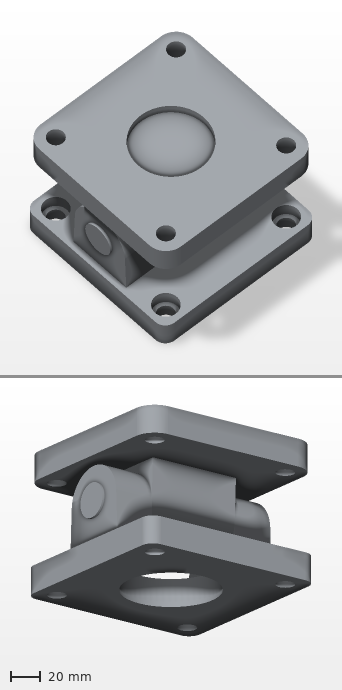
import cadquery as cq
import math

plate_side = 140.0
plate_thickness = 20.0
overall_height = 100.0
upper_corner_radius = 15.0
lower_corner_radius = 9.0
bolt_spacing = 110.0
bolt_hole_diameter = 13.5

counterbore_diameter = 20.0
counterbore_depth = 10.0
bore_diameter = 70

recess_diameter = 60.0
recess_depth = 7.0

hinge_radius = 25.0
flank_taper = math.radians(2.5)
eye_width = 70.0
fork_width = 130.0
pin_diameter = 25.0
pin_length = 134.0

pivot_height = overall_height / 2
base_drop = pivot_height - plate_thickness
lug_thickness = (fork_width - eye_width) / 2


def flange_plate(bottom_z, corner_radius):
    """Square plate with rounded vertical corners and four bolt holes."""
    return (
        cq.Workplane("XY", origin=(0, 0, bottom_z))
        .rect(plate_side, plate_side)
        .extrude(plate_thickness)
        .edges("|Z")
        .fillet(corner_radius)
        .faces(">Z")
        .workplane()
        .rect(bolt_spacing, bolt_spacing, forConstruction=True)
        .vertices()
        .hole(bolt_hole_diameter)
    )


def vertical_cylinder(diameter, depth, top_z):
    """Cylinder on the Z axis reaching down from top_z."""
    return cq.Workplane("XY", origin=(0, 0, top_z)).circle(diameter / 2).extrude(-depth)


def pivot_cylinder(diameter, length):
    """Cylinder along Y, centred on the pivot axis."""
    return (
        cq.Workplane("XZ", origin=(0, 0, pivot_height))
        .circle(diameter / 2)
        .extrude(length / 2, both=True)
    )


def hinge_lug(center_y, width, base_side):
    """Tapered lug with a round end; base_side is -1 for a base below the pivot, +1 above.

    The flanks leave the round end tangentially and spread towards the base by the taper angle.
    """
    tangent_x = hinge_radius * math.cos(flank_taper)
    tangent_z = -base_side * hinge_radius * math.sin(flank_taper)
    half_base = hinge_radius / math.cos(flank_taper) + base_drop * math.tan(flank_taper)
    base_z = base_side * base_drop
    end_z = -base_side * hinge_radius
    return (
        cq.Workplane("XZ", origin=(0, center_y + width / 2, pivot_height))
        .moveTo(-half_base, base_z)
        .lineTo(half_base, base_z)
        .lineTo(tangent_x, tangent_z)
        .threePointArc((0, end_z), (-tangent_x, tangent_z))
        .close()
        .extrude(width)
    )


def make_fork():
    """Lower plate with a central bore, counterbored bolt holes, two lugs and the fixed pin."""
    fork = flange_plate(0, lower_corner_radius)
    fork = fork.cut(vertical_cylinder(bore_diameter, plate_thickness, plate_thickness))
    counterbores = (
        cq.Workplane("XY", origin=(0, 0, plate_thickness))
        .rect(bolt_spacing, bolt_spacing, forConstruction=True)
        .vertices()
        .circle(counterbore_diameter / 2)
        .extrude(-counterbore_depth)
    )
    fork = fork.cut(counterbores)
    lug_offset = (eye_width + lug_thickness) / 2
    for side in (-1, 1):
        fork = fork.union(hinge_lug(side * lug_offset, lug_thickness, -1))
    return fork.union(pivot_cylinder(pin_diameter, pin_length))


def make_eye():
    """Upper plate with a round recess on top and a hanging lug bored for the pin."""
    eye = flange_plate(overall_height - plate_thickness, upper_corner_radius)
    eye = eye.cut(vertical_cylinder(recess_diameter, recess_depth, overall_height))
    eye = eye.union(hinge_lug(0, eye_width, 1))
    return eye.cut(pivot_cylinder(pin_diameter, eye_width))


fork = make_fork()
eye = make_eye()

result = cq.Compound.makeCompound([fork.val(), eye.val()])